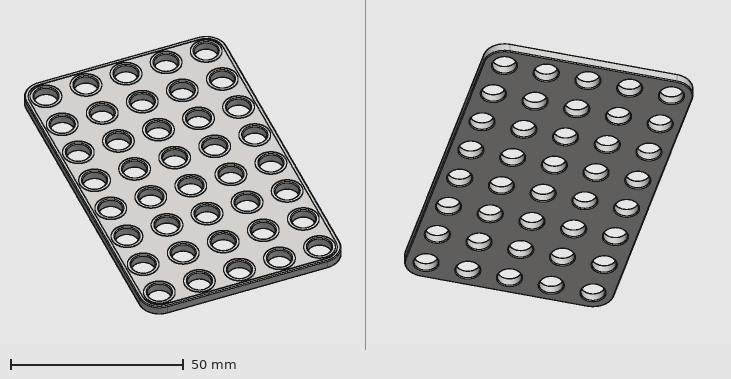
import cadquery as cq

pitch = 12.5
columns = 8
rows = 5
length = columns * pitch
width = rows * pitch
thickness = pitch / 4
corner_radius = pitch / 2
chamfer = 0.3

hole_diameter = 7.0
rim_diameter = 9.2
rim_width = (rim_diameter - hole_diameter) / 2
rim_height = 0.2


def rounded_plate(inset, height):
    """Rounded rectangle inset from the plate outline, standing on the XY plane."""
    plate = cq.Workplane("XY").box(
        length - 2 * inset, width - 2 * inset, height, centered=(True, True, False)
    )
    return plate.edges("|Z").fillet(corner_radius - inset)


def hole_grid(diameter, height):
    """One cylinder per grid cell, standing on the XY plane."""
    return (
        cq.Workplane("XY")
        .rarray(pitch, pitch, columns, rows)
        .circle(diameter / 2)
        .extrude(height)
    )


def make_blank():
    """Perforated plate with every outer and hole edge chamfered on both faces."""
    blank = rounded_plate(0, thickness).cut(hole_grid(hole_diameter, thickness))
    return blank.faces("<Z or >Z").edges().chamfer(chamfer)


def make_field():
    """Area inside the edge rim and outside the hole rims, as deep as the rims are high."""
    return rounded_plate(rim_width, rim_height).cut(hole_grid(rim_diameter, rim_height))


def make_part():
    """Plate centred on the origin, its top set back between the rims."""
    top_field = make_field().translate((0, 0, thickness - rim_height))
    return make_blank().cut(top_field).translate((0, 0, -thickness / 2))


result = make_part()